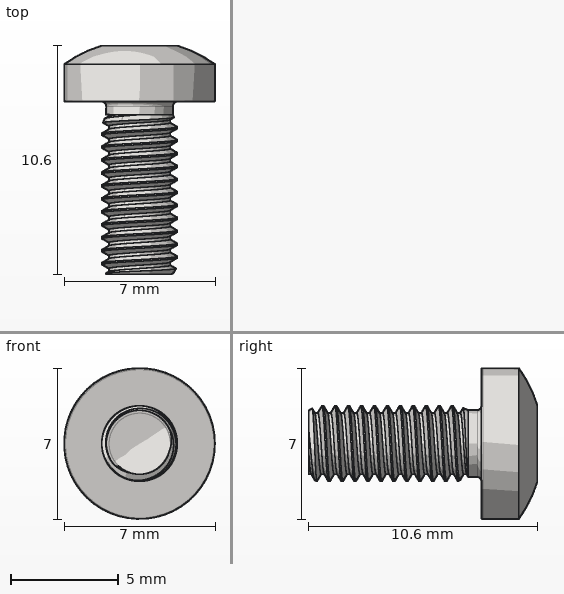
import cadquery as cq
import math

THREAD_DIAMETER = 3.5
PITCH = 0.6
SHANK_LENGTH = 8.0
HEAD_DIAMETER = 2 * THREAD_DIAMETER
HEAD_HEIGHT = 2.6
DOME_RADIUS = 6.0
HEAD_RIM_HEIGHT = 1.74
HEAD_EDGE_FILLET = 0.06

NECK_DIAMETER = 3.11
NECK_LENGTH = PITCH
NECK_FILLET = 0.2

FLANK_ANGLE = math.radians(30)
CREST_WIDTH = PITCH / 8
ROOT_WIDTH = PITCH / 4
THREAD_DEPTH = (PITCH - CREST_WIDTH - ROOT_WIDTH) / 2 / math.tan(FLANK_ANGLE)

RUN_OUT_LENGTH = 0.5
TIP_DIAMETER = 3.08
TIP_CHAMFER_ANGLE = math.radians(30)

DIMPLE_DIAMETER = 2.84
DIMPLE_DEPTH = 0.06

RIDGE_SINK = 0.04
THREAD_OVERRUN = PITCH
TRIM_CLEARANCE = 0.1

thread_radius = THREAD_DIAMETER / 2
root_radius = thread_radius - THREAD_DEPTH
neck_radius = NECK_DIAMETER / 2
tip_radius = TIP_DIAMETER / 2
head_radius = HEAD_DIAMETER / 2


def revolve_about_axis(profile):
    """Turn a closed profile, drawn as radius along X and height along Y, about the Y axis."""
    return profile.close().revolve(360, (0, 0, 0), (0, 1, 0))


def make_head():
    """Head with a cylindrical rim, a spherical dome cut off flat, and a rounded bearing edge."""
    dome_centre = HEAD_RIM_HEIGHT - math.sqrt(DOME_RADIUS**2 - head_radius**2)
    flat_radius = math.sqrt(DOME_RADIUS**2 - (HEAD_HEIGHT - dome_centre) ** 2)
    mid_radius = (head_radius + flat_radius) / 2
    mid_height = dome_centre + math.sqrt(DOME_RADIUS**2 - mid_radius**2)
    head = revolve_about_axis(
        cq.Workplane("XY")
        .lineTo(head_radius, 0)
        .lineTo(head_radius, HEAD_RIM_HEIGHT)
        .threePointArc((mid_radius, mid_height), (flat_radius, HEAD_HEIGHT))
        .lineTo(0, HEAD_HEIGHT)
    )
    return head.faces("<Y").edges().fillet(HEAD_EDGE_FILLET)


def make_neck():
    """Plain neck that flares into the bearing face of the head."""
    flare_radius = neck_radius + NECK_FILLET
    return revolve_about_axis(
        cq.Workplane("XY")
        .lineTo(flare_radius, 0)
        .radiusArc((neck_radius, -NECK_FILLET), -NECK_FILLET)
        .lineTo(neck_radius, -NECK_LENGTH)
        .lineTo(0, -NECK_LENGTH)
    )


def make_trimming_space():
    """Space that trims the threaded rod: a cone below the neck and a cone and flat at the tip."""
    run_out_slope = (thread_radius - neck_radius) / RUN_OUT_LENGTH
    tip_slope = math.tan(TIP_CHAMFER_ANGLE)
    outer_radius = thread_radius + TRIM_CLEARANCE
    return revolve_about_axis(
        cq.Workplane("XY")
        .moveTo(0, -NECK_LENGTH)
        .lineTo(neck_radius, -NECK_LENGTH)
        .lineTo(outer_radius, -NECK_LENGTH - (outer_radius - neck_radius) / run_out_slope)
        .lineTo(outer_radius, -SHANK_LENGTH + (outer_radius - tip_radius) / tip_slope)
        .lineTo(tip_radius, -SHANK_LENGTH)
        .lineTo(0, -SHANK_LENGTH)
    )


def make_thread_ridge():
    """Right-handed ridge that overruns both ends; its crest starts on +X."""
    length = SHANK_LENGTH - NECK_LENGTH + 2 * THREAD_OVERRUN
    half_crest = CREST_WIDTH / 2
    half_base = half_crest + (THREAD_DEPTH + RIDGE_SINK) * math.tan(FLANK_ANGLE)
    base_radius = root_radius - RIDGE_SINK
    path = cq.Wire.makeHelix(PITCH, length, thread_radius)
    ridge = (
        cq.Workplane("XZ")
        .moveTo(base_radius, -half_base)
        .lineTo(thread_radius, -half_crest)
        .lineTo(thread_radius, half_crest)
        .lineTo(base_radius, half_base)
        .close()
        .sweep(path, isFrenet=True)
    )
    start = -SHANK_LENGTH - THREAD_OVERRUN
    return ridge.rotate((0, 0, 0), (1, 0, 0), -90).translate((0, start, 0))


def make_threaded_rod():
    """Core cylinder with its ridge, both overrunning the thread and then trimmed to length."""
    core = cq.Workplane("XZ").circle(root_radius).extrude(SHANK_LENGTH + THREAD_OVERRUN)
    rod = core.union(make_thread_ridge()).intersect(make_trimming_space())
    part_turn = (SHANK_LENGTH - NECK_LENGTH) / PITCH % 1
    return rod.rotate((0, 0, 0), (0, 1, 0), -360 * part_turn)


def make_tip_dimple():
    """Shallow cone that leaves a narrow flat ring around the end face of the tip."""
    return revolve_about_axis(
        cq.Workplane("XY")
        .moveTo(0, -SHANK_LENGTH)
        .lineTo(DIMPLE_DIAMETER / 2, -SHANK_LENGTH)
        .lineTo(0, -SHANK_LENGTH + DIMPLE_DEPTH)
    )


screw = make_threaded_rod().union(make_neck()).union(make_head())
result = screw.cut(make_tip_dimple()).solids()